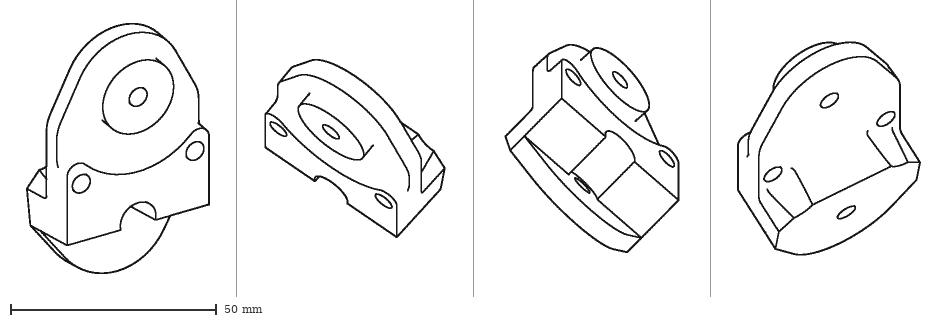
import cadquery as cq
import math

half_width = 20.01
plate_thickness = 5.0
rear_x = 2 * plate_thickness
hole_diameter = 5.0
root_fillet = 1.0

head_radius = 15.0
shoulder_radius = 10.0
shoulder_z = -8.8

boss_diameter = 20.0
clearance_radius = 20.9
post_corner_radius = 3.0

side_hole_y = 16
side_hole_z = -19.7
scallop_radius = 6.0

tilt = math.radians(10)
lower_hole_x = -8.0
lower_hole_z = -37.85
block_top = 14.9
block_bottom = -1.1
block_chamfer = 6.4
tab_radius = 17.0
counterbore_diameter = 10.0

trim_size = 139.2

tilted_plane = cq.Plane(
    origin=(lower_hole_x, 0, lower_hole_z),
    xDir=(0, 1, 0),
    normal=(math.cos(tilt), 0, math.sin(tilt)),
)


def upright(x):
    """Workplane across X, with local x along Y and local y along Z."""
    return cq.Workplane("YZ", origin=(x, 0, 0))


def tilted(depth=0):
    """Workplane parallel to the tilted face, at a depth behind it."""
    return cq.Workplane(tilted_plane).workplane(offset=depth)


def slab(x_start, x_end):
    """Oversized box between two X positions."""
    return upright(x_start).rect(trim_size, trim_size).extrude(x_end - x_start)


def above_block_bottom():
    """Everything above the tilted underside of the block."""
    return (
        tilted(-trim_size / 2)
        .center(0, block_bottom + trim_size / 2)
        .rect(trim_size, trim_size)
        .extrude(trim_size)
    )


def make_plate():
    """Plate with a round head joined tangentially to rounded shoulders."""
    shoulder_y = half_width - shoulder_radius
    spacing = math.hypot(shoulder_y, shoulder_z)
    angle = math.atan2(shoulder_z, shoulder_y) + math.acos((head_radius - shoulder_radius) / spacing)
    normal_y = math.cos(angle)
    normal_z = math.sin(angle)
    head = (head_radius * normal_y, head_radius * normal_z)
    shoulder = (shoulder_y + shoulder_radius * normal_y, shoulder_z + shoulder_radius * normal_z)
    middle_y = shoulder_y + shoulder_radius * math.cos(angle / 2)
    middle_z = shoulder_z + shoulder_radius * math.sin(angle / 2)
    return (
        upright(0)
        .moveTo(-half_width, lower_hole_z)
        .lineTo(half_width, lower_hole_z)
        .lineTo(half_width, shoulder_z)
        .threePointArc((middle_y, middle_z), shoulder)
        .lineTo(*head)
        .threePointArc((0, head_radius), (-head[0], head[1]))
        .lineTo(-shoulder[0], shoulder[1])
        .threePointArc((-middle_y, middle_z), (-half_width, shoulder_z))
        .close()
        .extrude(plate_thickness)
    )


def make_rear_block():
    """Thick rear wall whose top is a round clearance between two rounded posts."""
    corner_y = half_width - post_corner_radius
    corner_z = -math.sqrt((clearance_radius + post_corner_radius) ** 2 - corner_y**2)
    share = clearance_radius / (clearance_radius + post_corner_radius)
    inner = (corner_y * share, corner_z * share)
    return (
        upright(plate_thickness)
        .moveTo(-half_width, lower_hole_z)
        .lineTo(half_width, lower_hole_z)
        .lineTo(half_width, corner_z)
        .threePointArc((corner_y, corner_z + post_corner_radius), inner)
        .threePointArc((0, -clearance_radius), (-inner[0], inner[1]))
        .threePointArc((-corner_y, corner_z + post_corner_radius), (-half_width, corner_z))
        .close()
        .extrude(rear_x - plate_thickness)
    )


def make_front_block():
    """Tilted block in front of the plate, chamfered and scalloped around the side holes."""
    block = (
        tilted()
        .moveTo(-half_width, block_bottom)
        .lineTo(half_width, block_bottom)
        .lineTo(half_width, block_top - block_chamfer)
        .lineTo(half_width - block_chamfer, block_top)
        .lineTo(block_chamfer - half_width, block_top)
        .lineTo(-half_width, block_top - block_chamfer)
        .close()
        .extrude(trim_size / 2)
        .intersect(slab(-trim_size, 0))
    )
    scallops = (
        upright(0)
        .pushPoints([(-side_hole_y, side_hole_z), (side_hole_y, side_hole_z)])
        .circle(scallop_radius)
        .extrude(-trim_size)
    )
    return block.cut(scallops)


def make_tab():
    """Tab whose straight sides run tangentially into a round end."""
    corner_distance = math.hypot(half_width, block_bottom)
    angle = math.atan2(block_bottom, half_width) - math.acos(tab_radius / corner_distance)
    tangent_y = tab_radius * math.cos(angle)
    tangent_up = tab_radius * math.sin(angle)
    return (
        tilted()
        .moveTo(-half_width, block_bottom)
        .lineTo(half_width, block_bottom)
        .lineTo(tangent_y, tangent_up)
        .threePointArc((0, -tab_radius), (-tangent_y, tangent_up))
        .close()
        .extrude(plate_thickness)
    )


def face_edges(body, x, z_low, z_high):
    """Edges lying on the plane at x and inside a Z range, away from the side faces."""
    reach = 0.01
    box = cq.selectors.BoxSelector(
        (x - reach, -half_width + reach, z_low),
        (x + reach, half_width - reach, z_high),
        boundingbox=False,
    )
    return body.edges(box)


body = make_plate().union(make_rear_block()).intersect(above_block_bottom())
body = body.union(make_front_block())

body = face_edges(body, 0, lower_hole_z, side_hole_z).fillet(root_fillet)

body = face_edges(body, plate_thickness, lower_hole_z, shoulder_z).fillet(root_fillet)

body = body.union(upright(plate_thickness).circle(boss_diameter / 2).extrude(rear_x - plate_thickness))
body = face_edges(body, plate_thickness, -root_fillet, root_fillet).edges("%CIRCLE").fillet(root_fillet)

body = body.union(make_tab())

hole_places = [(0, 0), (-side_hole_y, side_hole_z), (side_hole_y, side_hole_z)]
body = body.cut(upright(0).pushPoints(hole_places).circle(hole_diameter / 2).extrude(rear_x))

body = body.cut(tilted().circle(hole_diameter / 2).extrude(plate_thickness))
body = body.cut(tilted(plate_thickness).circle(counterbore_diameter / 2).extrude(trim_size / 2))

result = body